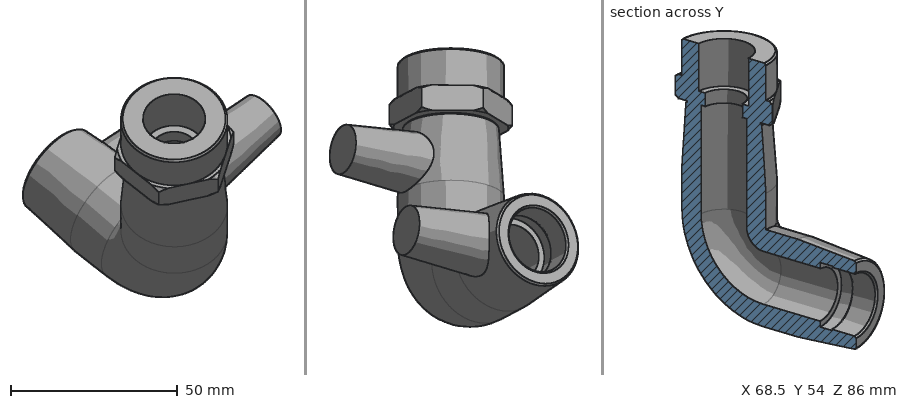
import cadquery as cq
import math

pipe_radius = 16.0
bend_radius = 15.0
cone_start = 27.9
arm_length = 50.0
cone_end_radius = 14.4
edge_chamfer = 0.6

hex_flats = 2 * pipe_radius
hex_corners = hex_flats / math.cos(math.pi / 6)
hex_top = 58.0
hex_chamfer_width = 1.3
hex_chamfer_height = 0.95
top_height = 70.0

bore_radius = 8.5
nut_bore_diameter = 14.0
upright_socket_diameter = 18.65
upright_socket_depth = 15.5
side_socket_diameter = 20.0
side_socket_depth = 13.6
side_relief_start = 9.1
side_relief_diameter = 20.8
mouth_chamfer = 0.6

branch_distance = 36.3
branch_tip_y = 38.0
branch_tip_radius = 7.6
branch_base_radius = 9.4


def revolve_profile(points):
    """Revolve a (radius, height) outline about the Z axis."""
    return cq.Workplane("XZ").polyline(points).close().revolve(360, (0, 0), (0, 1))


def to_side_arm(shape):
    """Turn a shape lying along +Z so that it lies along -X."""
    return shape.rotate((0, 0, 0), (0, 1, 0), -90)


def make_arm():
    return revolve_profile([
        (0, bend_radius),
        (pipe_radius, bend_radius),
        (pipe_radius, cone_start),
        (cone_end_radius, arm_length - edge_chamfer),
        (cone_end_radius - edge_chamfer, arm_length),
        (0, arm_length),
    ])


def make_bend():
    """Quarter turn of the pipe section, cut off flat at the bend's own axis."""
    flat_half_width = math.sqrt(pipe_radius**2 - bend_radius**2)
    return (
        cq.Workplane("XY", origin=(0, 0, bend_radius))
        .moveTo(-bend_radius, -flat_half_width)
        .threePointArc((pipe_radius, 0), (-bend_radius, flat_half_width))
        .close()
        .revolve(90, (-bend_radius, 0), (-bend_radius, 1))
    )


def make_nut():
    corner_radius = hex_corners / 2
    hexagon = (
        cq.Workplane("XY", origin=(0, 0, arm_length))
        .polygon(6, hex_corners)
        .extrude(hex_top - arm_length)
    )
    chamfer_envelope = revolve_profile([
        (0, arm_length),
        (corner_radius - hex_chamfer_width, arm_length),
        (corner_radius, arm_length + hex_chamfer_height),
        (corner_radius, hex_top - hex_chamfer_height),
        (corner_radius - hex_chamfer_width, hex_top),
        (0, hex_top),
    ])
    return hexagon.intersect(chamfer_envelope)


def make_collar():
    return (
        cq.Workplane("XY", origin=(0, 0, hex_top))
        .circle(pipe_radius)
        .extrude(top_height - hex_top)
        .faces(">Z")
        .chamfer(edge_chamfer)
    )


def make_branch(x, z):
    """Tapered branch that starts on an arm's axis and tapers toward its tip."""
    taper = (branch_base_radius - branch_tip_radius) / (branch_tip_y - pipe_radius)
    axis_radius = branch_tip_radius + taper * branch_tip_y
    branch = revolve_profile([
        (0, 0),
        (axis_radius, 0),
        (branch_tip_radius, branch_tip_y),
        (0, branch_tip_y),
    ])
    return branch.rotate((0, 0, 0), (1, 0, 0), -90).translate((x, 0, z))


def make_rod(radius, bottom, top):
    """Cylinder on the Z axis between two heights."""
    return cq.Workplane("XY", origin=(0, 0, bottom)).circle(radius).extrude(top - bottom)


def make_bore_bend():
    return (
        cq.Workplane("XY", origin=(0, 0, bend_radius))
        .circle(bore_radius)
        .revolve(90, (-bend_radius, 0), (-bend_radius, 1))
    )


def make_side_socket():
    """Stepped socket with a chamfered mouth and a slightly wider relief at its floor."""
    relief_radius = side_relief_diameter / 2
    socket_radius = side_socket_diameter / 2
    return revolve_profile([
        (0, arm_length - side_socket_depth),
        (relief_radius, arm_length - side_socket_depth),
        (relief_radius, arm_length - side_relief_start),
        (socket_radius, arm_length - side_relief_start),
        (socket_radius, arm_length - mouth_chamfer),
        (socket_radius + mouth_chamfer, arm_length),
        (0, arm_length),
    ])


body = make_bend().union(make_arm()).union(to_side_arm(make_arm()))
body = body.union(make_nut()).union(make_collar())
for x, z in [(-branch_distance, 0), (0, branch_distance)]:
    body = body.union(make_branch(x, z))

arm_bore = make_rod(bore_radius, bend_radius, arm_length)
nut_bore = make_rod(nut_bore_diameter / 2, arm_length, top_height)
upright_socket = make_rod(
    upright_socket_diameter / 2, top_height - upright_socket_depth, top_height
)
passage = [
    make_bore_bend(),
    arm_bore,
    to_side_arm(arm_bore),
    nut_bore,
    upright_socket,
    to_side_arm(make_side_socket()),
]
result = body
for opening in passage:
    result = result.cut(opening)